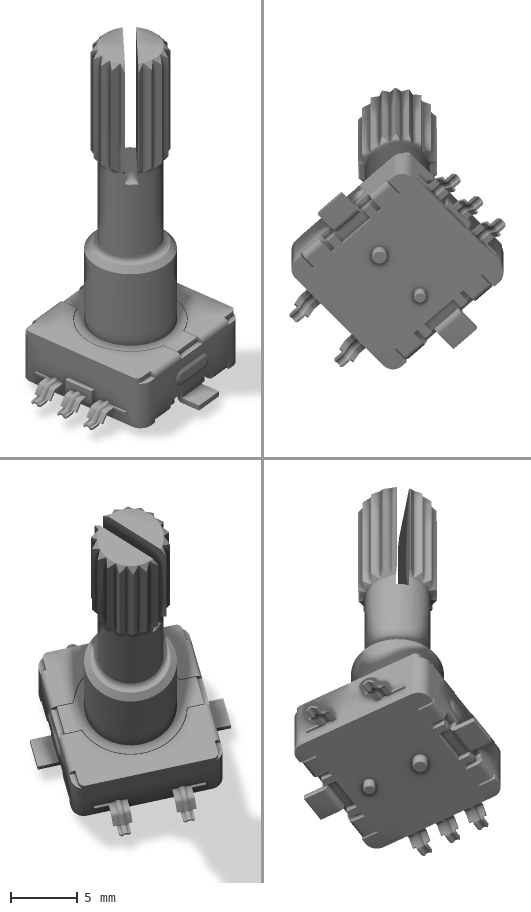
import cadquery as cq
import math


overall_height = 30.3
peg_length = 0.8
shaft_top = overall_height - peg_length

block_x = 11.73
block_y = 12.0
block_corner_radius = 1.0
base_height = 2.85
block_height = 4.5

sheet = 0.45
frame_inner_x = block_x / 2 - sheet
cover_corner_radius = 0.45
cover_clearance = 0.05
flange_width = 9.03
mount_tab_width = 2.42
mount_tab_span = 15.0
notch_width = 1.2
notch_height = 0.9
claw_end_x = -frame_inner_x + 2 * sheet
claw_shoulder = 0.18
boss_length = 4.0
boss_width = 1.42
boss_edge = 0.3
boss_height = 0.12
boss_z = 2.42

collar_diameter = 8.5
bushing_diameter = 7.0
bushing_top = 11.5
bushing_chamfer = 0.48

neck_diameter = 3.0
shaft_diameter = 5.0
shaft_bottom = 12.0
grip_length = 10.0
grip_diameter = 6.0
tooth_count = 18
slot_width = 1.0
slot_depth = 11.0
slot_angle = -50.0

terminal_pitch = 2.48
large_peg_diameter = 1.15
large_peg_x = -2.0
small_peg_diameter = 0.95
small_peg_x = terminal_pitch
peg_edge_radius = 0.12
claw_pocket_inner_y = 2.15
tab_pocket_width = 3.03
pad_width = 2.48
pad_bottom = 0.73
pad_top = 1.9
pad_depth = 0.35

strip = 0.18
strip_bottom = 1.0
foot_bottom = 0.18
terminal_span = 17.0
terminal_reach = (terminal_span - block_y) / 2
terminal_width = 1.48
terminal_tip_width = 0.9
step_reach = 1.58
tip_chamfer = 0.15
slope_start = 1.0
slope_end = 1.67
bend_radius = 0.25
rib_width = 0.5
rib_height = 0.18
wing_outer_x = 4.33
wing_depth = 0.18


def box(x_min, x_max, y_min, y_max, z_min, z_max):
    size = (x_max - x_min, y_max - y_min, z_max - z_min)
    return cq.Workplane("XY").box(*size, centered=False).translate((x_min, y_min, z_min))


def both_sides(left_part):
    """The part at -X together with its mirror image at +X."""
    return left_part.union(left_part.mirror("YZ"))


def housing_block(z_min, z_max):
    """Slice of the rounded block with flat recesses for the frame's side flanges."""
    block = (
        cq.Workplane("XY", origin=(0, 0, z_min))
        .rect(block_x, block_y)
        .extrude(z_max - z_min)
        .edges("|Z")
        .fillet(block_corner_radius)
    )
    recess = box(-block_x / 2, -frame_inner_x, -flange_width / 2, flange_width / 2, z_min, z_max)
    return block.cut(both_sides(recess))




def make_shaft():
    ridge_radius = grip_diameter / 2
    valley_radius = shaft_diameter / 2
    tooth_depth = ridge_radius - valley_radius
    grip_bottom = shaft_top - grip_length

    neck = (
        cq.Workplane("XY", origin=(0, 0, base_height))
        .circle(neck_diameter / 2)
        .extrude(shaft_bottom - base_height)
    )
    stem = (
        cq.Workplane("XY", origin=(0, 0, shaft_bottom))
        .circle(valley_radius)
        .extrude(grip_bottom - shaft_bottom)
    )

    star = []
    for i in range(2 * tooth_count):
        radius = ridge_radius if i % 2 == 0 else valley_radius
        angle = math.pi * i / tooth_count
        star.append((radius * math.cos(angle), radius * math.sin(angle)))
    teeth = cq.Workplane("XY", origin=(0, 0, grip_bottom)).polyline(star).close().extrude(grip_length)
    chamfered_envelope = (
        cq.Workplane("XY", origin=(0, 0, grip_bottom))
        .circle(ridge_radius)
        .extrude(grip_length)
        .edges()
        .chamfer(tooth_depth)
    )
    grip = teeth.intersect(chamfered_envelope)

    slot = (
        cq.Workplane("XY", origin=(0, 0, shaft_top - slot_depth))
        .rect(2 * grip_diameter, slot_width)
        .extrude(slot_depth)
        .rotate((0, 0, 0), (0, 0, 1), slot_angle)
    )
    return neck.union(stem).union(grip).cut(slot)




def raised_collar(clearance=0.0):
    """Disc with two arms that fits the cover's opening, enlarged all round by a clearance."""
    cover_bottom = block_height - sheet
    half_arm = mount_tab_width / 2 + clearance
    radius = collar_diameter / 2 + clearance
    disc = cq.Workplane("XY", origin=(0, 0, cover_bottom)).circle(radius).extrude(sheet)
    arms = box(-frame_inner_x, frame_inner_x, -half_arm, half_arm, cover_bottom, block_height)
    return disc.union(arms)


def make_bushing_body():
    tube = (
        cq.Workplane("XY", origin=(0, 0, block_height))
        .circle(bushing_diameter / 2)
        .extrude(bushing_top - block_height)
        .faces(">Z")
        .chamfer(bushing_chamfer)
    )
    bore = (
        cq.Workplane("XY", origin=(0, 0, base_height))
        .circle(neck_diameter / 2)
        .extrude(bushing_top - base_height)
    )
    block = housing_block(base_height, block_height - sheet)
    return block.union(raised_collar()).union(tube).cut(bore)




def quarter_bend(center_x, center_z, x_side, z_side, y_min, y_max):
    """Solid 90-degree bend of one sheet thickness, filling one quadrant around its axis."""
    x_end = center_x + x_side * sheet
    z_end = center_z + z_side * sheet
    quadrant = box(
        min(center_x, x_end), max(center_x, x_end),
        y_min, y_max,
        min(center_z, z_end), max(center_z, z_end),
    )
    rod = cq.Workplane("XZ", origin=(center_x, y_max, center_z)).circle(sheet).extrude(y_max - y_min)
    return quadrant.intersect(rod)


def make_cover():
    cover_bottom = block_height - sheet
    plate = (
        cq.Workplane("XY", origin=(0, 0, cover_bottom))
        .rect(2 * frame_inner_x, block_y)
        .extrude(sheet)
        .edges("|Z")
        .fillet(cover_corner_radius)
    )
    return plate.cut(raised_collar(cover_clearance))


def flange_wall():
    """Flat wall of the -X flange, notched on both sides of the mounting tab."""
    half_tab = mount_tab_width / 2
    half_flange = flange_width / 2
    notch_outer = half_tab + notch_width
    half_outline = [
        (half_tab, sheet),
        (half_tab, notch_height),
        (notch_outer, notch_height),
        (notch_outer, sheet + claw_shoulder),
        (notch_outer + claw_shoulder, sheet),
        (half_flange - claw_shoulder, sheet),
        (half_flange, sheet + claw_shoulder),
        (half_flange, block_height - sheet),
    ]
    mirrored_outline = [(-y, z) for y, z in reversed(half_outline)]
    return (
        cq.Workplane("YZ", origin=(-block_x / 2, 0, 0))
        .polyline(half_outline + mirrored_outline)
        .close()
        .extrude(sheet)
    )


def claw_spans():
    """Y ranges of the two claws of a flange."""
    y_min = mount_tab_width / 2 + notch_width + claw_shoulder
    y_max = flange_width / 2 - claw_shoulder
    return [(y_min, y_max), (-y_max, -y_min)]


def flange_boss():
    """Tapered oblong boss on the outside of the -X flange."""
    return (
        cq.Workplane("YZ", origin=(-block_x / 2, 0, boss_z))
        .slot2D(boss_length, boss_width)
        .workplane(offset=-boss_height)
        .slot2D(boss_length - 2 * boss_edge, boss_width - 2 * boss_edge)
        .loft(ruled=True)
    )


def side_flange():
    """The -X flange: bent down from the cover, with a mounting tab, two claws and a boss."""
    outer_x = -block_x / 2
    half_tab = mount_tab_width / 2
    half_flange = flange_width / 2
    flange = flange_wall().union(flange_boss())

    half_gap = half_tab + cover_clearance
    for y_min, y_max in [(half_gap, half_flange), (-half_flange, -half_gap)]:
        flange = flange.union(quarter_bend(-frame_inner_x, block_height - sheet, -1, 1, y_min, y_max))

    for y_min, y_max in claw_spans():
        flange = flange.union(quarter_bend(-frame_inner_x, sheet, -1, -1, y_min, y_max))
        fold = box(-frame_inner_x, claw_end_x, y_min, y_max, 0, sheet)
        flange = flange.union(fold)

    tab = box(-mount_tab_span / 2, outer_x, -half_tab, half_tab, 0, sheet)
    return flange.union(quarter_bend(outer_x, sheet, 1, -1, -half_tab, half_tab)).union(tab)


def make_frame():
    return make_cover().union(both_sides(side_flange()))




def locating_peg(x, diameter):
    return (
        cq.Workplane("XY", origin=(x, 0, -peg_length))
        .circle(diameter / 2)
        .extrude(peg_length)
        .faces("<Z")
        .fillet(peg_edge_radius)
    )


def bottom_pockets():
    """Pockets at -X under the base for the two folded claws and the bend of the mounting tab."""
    inner_edge = claw_pocket_inner_y
    outer_edge = flange_width / 2
    half_tab_pocket = tab_pocket_width / 2
    pockets = cq.Workplane("XY")
    for y_min, y_max in [
        (-outer_edge, -inner_edge),
        (-half_tab_pocket, half_tab_pocket),
        (inner_edge, outer_edge),
    ]:
        pockets = pockets.add(box(-frame_inner_x, claw_end_x, y_min, y_max, 0, sheet))
    return pockets.combine()


def make_base():
    base = housing_block(0, base_height)
    base = base.cut(both_sides(bottom_pockets()))
    pad = box(-pad_width / 2, pad_width / 2, -block_y / 2 - pad_depth, -block_y / 2, pad_bottom, pad_top)
    base = base.union(pad)
    base = base.union(locating_peg(large_peg_x, large_peg_diameter))
    return base.union(locating_peg(small_peg_x, small_peg_diameter))




def ribbed_section(workplane):
    """Strip cross-section with an arched rib along its middle; the underside follows the arch."""
    half_width = terminal_width / 2
    half_rib = rib_width / 2
    low = -strip / 2
    high = strip / 2
    return (
        workplane.moveTo(-half_width, low)
        .lineTo(-half_rib, low)
        .threePointArc((0, low + rib_height), (half_rib, low))
        .lineTo(half_width, low)
        .lineTo(half_width, high)
        .lineTo(half_rib, high)
        .threePointArc((0, high + rib_height), (-half_rib, high))
        .lineTo(-half_width, high)
        .close()
    )


def wide_zone():
    """Space that holds the full-width part, ending in a step face square to the slope."""
    slope_rise = strip_bottom - foot_bottom
    slope_run = slope_end - slope_start
    lean = slope_rise / slope_run
    step_z = foot_bottom + strip / 2 + lean * (slope_end - step_reach)
    step_outline = [
        (0, 0),
        (lean * step_z - step_reach, 0),
        (lean * (step_z - block_height) - step_reach, block_height),
        (0, block_height),
    ]
    return cq.Workplane("YZ").polyline(step_outline).close().extrude(terminal_width / 2, both=True)


def tip_zone():
    """Space that holds the narrow part, with the tip's corners chamfered."""
    return (
        box(-terminal_tip_width / 2, terminal_tip_width / 2, -terminal_reach, 0, 0, block_height)
        .edges("|Z and <Y")
        .chamfer(tip_chamfer)
    )


def make_terminal(x, wing_side, start):
    """Gull-wing terminal on the -Y face at x, beginning at a distance `start` outside that face.

    wing_side is -1 or +1 for a wing reaching that way along the face, 0 for none.
    """
    upper_z = strip_bottom + strip / 2
    foot_z = foot_bottom + strip / 2
    path_points = [
        (-start, upper_z),
        (-slope_start, upper_z),
        (-slope_end, foot_z),
        (-terminal_reach, foot_z),
    ]
    corners = cq.Workplane("YZ").polyline(path_points).wire().val()
    path = corners.fillet(bend_radius, corners.Vertices()[1:-1])
    section = ribbed_section(cq.Workplane("XZ", origin=(0, -start, upper_z)))
    terminal = section.sweep(cq.Workplane(path)).intersect(wide_zone().union(tip_zone()))

    if wing_side:
        wing_ends = sorted((wing_side * terminal_width / 2, wing_side * wing_outer_x - x))
        wing = box(*wing_ends, -wing_depth, 0, strip_bottom, strip_bottom + strip)
        terminal = terminal.union(wing)
    return terminal.translate((x, -block_y / 2, 0))


def make_terminals():
    terminals = [make_terminal(0, 0, pad_depth)]
    for side in (-1, 1):
        outer_terminal = make_terminal(side * terminal_pitch, side, 0)
        terminals.append(outer_terminal)
        terminals.append(outer_terminal.mirror("XZ"))
    return terminals


shaft = make_shaft()
bushing_body = make_bushing_body()
frame = make_frame()
base = make_base()
terminals = make_terminals()

result = cq.Compound.makeCompound(
    [shaft.val(), bushing_body.val(), frame.val(), base.val()]
    + [terminal.val() for terminal in terminals]
)